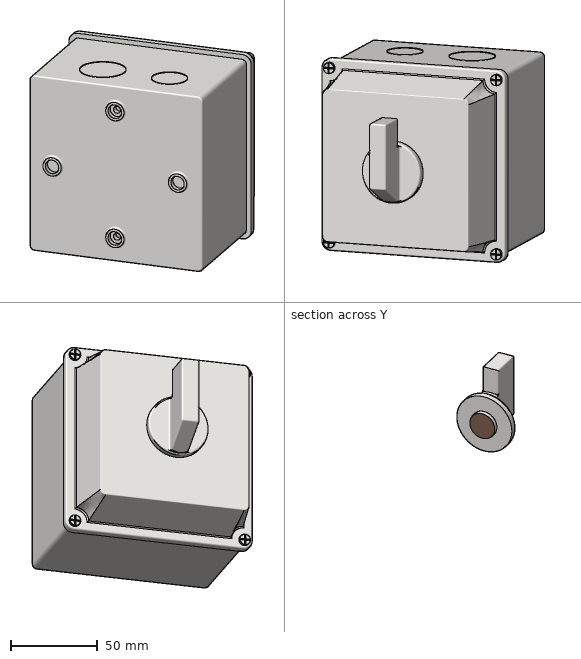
import cadquery as cq
import math


HOUSING_SIDE = 107.2
HOUSING_DEPTH = 70.3
HOUSING_CORNER_RADIUS = 3.0
BACK_EDGE_RADIUS = 1.0

FOOT_HEIGHT = 2.0
FOOT_DIAMETER = 11.3
FOOT_ROOT_RADIUS = 1.0
FOOT_OFFSET = 38.9
FOOT_POCKET_DIAMETER = 8.3
FOOT_POCKET_DEPTH = 3.5
SCREW_HOLE_DIAMETER = 4.3
SCREW_HOLE_DEPTH = 4.1

KNOCKOUT_Y = -45.2
KNOCKOUT_RECESS = 0.4
LARGE_KNOCKOUT_X = -17.9
LARGE_KNOCKOUT_DIAMETER = 27.0
SMALL_KNOCKOUT_X = 23.4
SMALL_KNOCKOUT_DIAMETER = 21.0

FLANGE_SIDE = 113
FLANGE_THICKNESS = 5.1
FLANGE_CORNER_RADIUS = 5.5
FLANGE_EDGE_RADIUS = 1.0
COVER_FRONT_Y = 35.3
HOOD_BASE_SIDE = 101.1
HOOD_BASE_CORNER_RADIUS = 7.5
HOOD_TOP_SIDE = 89.8
HOOD_TOP_CORNER_RADIUS = 3.0
HOOD_TOP_EDGE_RADIUS = 0.5
SKIRT_SPREAD = 0.7
SKIRT_HEIGHT = 0.8

COVER_SCREW_OFFSET = 51.4
COVER_SCREW_DIAMETER = 6.5
COVER_SCREW_HEIGHT = 1.8
COVER_SCREW_SLOT_WIDTH = 0.7
COVER_SCREW_SLOT_DEPTH = 1.0

SHAFT_DIAMETER = 16.5
SHAFT_LENGTH = 2.6
DISC_DIAMETER = 36.0
DISC_THICKNESS = 4.7
DISC_EDGE_RADIUS = 1.0
GRIP_WIDTH = 10.3
GRIP_HEIGHT = 22.9
GRIP_ARM_GAP = 3.0
GRIP_TOP_Z = 33.0
GRIP_BOTTOM_FRONT_Z = -5.6
GRIP_BOTTOM_BACK_Z = -17.5
GRIP_EDGE_RADIUS = 1.0
GRIP_ROOT_RADIUS = 1.0

SELECTION_MARGIN = 0.1

DISC_FLAT_RADIUS = DISC_DIAMETER / 2 - DISC_EDGE_RADIUS
DISC_BACK_Y = COVER_FRONT_Y + SHAFT_LENGTH
DISC_FRONT_Y = DISC_BACK_Y + DISC_THICKNESS
GRIP_FRONT_Y = DISC_FRONT_Y + GRIP_HEIGHT
GRIP_ARM_BACK_Y = DISC_FRONT_Y + GRIP_ARM_GAP


def facing_front(y):
    """Workplane at the given Y, so that a positive extrusion runs toward +Y."""
    return cq.Workplane(cq.Plane(origin=(0, y, 0), xDir=(1, 0, 0), normal=(0, 1, 0)))


def edges_between(back_y, front_y, reach):
    """Selects edges centred between two Y planes, no further than the reach from the Y axis in X and Z."""
    return cq.selectors.BoxSelector(
        (-reach - SELECTION_MARGIN, back_y - SELECTION_MARGIN, -reach - SELECTION_MARGIN),
        (reach + SELECTION_MARGIN, front_y + SELECTION_MARGIN, reach + SELECTION_MARGIN),
    )


def rounded_square(side, radius):
    return cq.Sketch().rect(side, side).vertices().fillet(radius)


def make_housing():
    box = facing_front(-HOUSING_DEPTH).placeSketch(
        rounded_square(HOUSING_SIDE, HOUSING_CORNER_RADIUS)
    ).extrude(HOUSING_DEPTH)
    box = box.faces("<Y").edges().fillet(BACK_EDGE_RADIUS)

    across = [(-FOOT_OFFSET, 0), (FOOT_OFFSET, 0)]
    upright = [(0, -FOOT_OFFSET), (0, FOOT_OFFSET)]
    feet_y = -HOUSING_DEPTH - FOOT_HEIGHT
    pocket_floor_y = feet_y + FOOT_POCKET_DEPTH

    feet = facing_front(feet_y).pushPoints(across + upright).circle(FOOT_DIAMETER / 2).extrude(FOOT_HEIGHT)
    box = box.union(feet)
    foot_roots = edges_between(-HOUSING_DEPTH, -HOUSING_DEPTH, FOOT_OFFSET)
    box = box.edges("%CIRCLE").edges(foot_roots).fillet(FOOT_ROOT_RADIUS)

    pockets = facing_front(feet_y).pushPoints(across + upright).circle(FOOT_POCKET_DIAMETER / 2)
    box = box.cut(pockets.extrude(FOOT_POCKET_DEPTH))
    screw_holes = facing_front(pocket_floor_y).pushPoints(upright).circle(SCREW_HOLE_DIAMETER / 2)
    box = box.cut(screw_holes.extrude(SCREW_HOLE_DEPTH))

    for x, diameter in (
        (LARGE_KNOCKOUT_X, LARGE_KNOCKOUT_DIAMETER),
        (SMALL_KNOCKOUT_X, SMALL_KNOCKOUT_DIAMETER),
    ):
        knockout = cq.Workplane("XY", origin=(x, KNOCKOUT_Y, HOUSING_SIDE / 2)).circle(diameter / 2)
        box = box.cut(knockout.extrude(-KNOCKOUT_RECESS))
    return box


def hood_outline(plane, side, corner_radius, hollow_corners):
    """Square with arcs at its corners, either rounded off or scooped out around the corner point."""
    half = side / 2
    straight_end = half - corner_radius
    if hollow_corners:
        arc_middle = half - corner_radius * math.sqrt(0.5)
    else:
        arc_middle = straight_end + corner_radius * math.sqrt(0.5)

    outline = plane.moveTo(half, -straight_end)
    for sx, sy in ((1, 1), (-1, 1), (-1, -1), (1, -1)):
        on_side = (sx * half, sy * straight_end)
        on_cap = (sx * straight_end, sy * half)
        start, end = (on_side, on_cap) if sx == sy else (on_cap, on_side)
        outline = outline.lineTo(*start).threePointArc((sx * arc_middle, sy * arc_middle), end)
    return outline.close()


def make_cover():
    flange = facing_front(0).placeSketch(
        rounded_square(FLANGE_SIDE, FLANGE_CORNER_RADIUS)
    ).extrude(FLANGE_THICKNESS)
    flange = flange.faces(">Y").edges().fillet(FLANGE_EDGE_RADIUS)

    skirt_side = HOOD_BASE_SIDE + 2 * SKIRT_SPREAD
    skirt = hood_outline(facing_front(FLANGE_THICKNESS), skirt_side, HOOD_BASE_CORNER_RADIUS, True)
    skirt = skirt.workplane(offset=SKIRT_HEIGHT)
    skirt = hood_outline(skirt, HOOD_BASE_SIDE, HOOD_BASE_CORNER_RADIUS, True).loft(ruled=True)

    hood_base_y = FLANGE_THICKNESS + SKIRT_HEIGHT
    hood = hood_outline(facing_front(hood_base_y), HOOD_BASE_SIDE, HOOD_BASE_CORNER_RADIUS, True)
    hood = hood.workplane(offset=COVER_FRONT_Y - hood_base_y)
    hood = hood_outline(hood, HOOD_TOP_SIDE, HOOD_TOP_CORNER_RADIUS, False).loft(ruled=True)
    hood = hood.faces(">Y").edges().fillet(HOOD_TOP_EDGE_RADIUS)
    cover = flange.union(skirt).union(hood)

    corners = [(x, z) for x in (-COVER_SCREW_OFFSET, COVER_SCREW_OFFSET)
               for z in (-COVER_SCREW_OFFSET, COVER_SCREW_OFFSET)]
    heads = facing_front(FLANGE_THICKNESS).pushPoints(corners).circle(COVER_SCREW_DIAMETER / 2)
    heads = heads.extrude(COVER_SCREW_HEIGHT)
    slot_floor = facing_front(FLANGE_THICKNESS + COVER_SCREW_HEIGHT - COVER_SCREW_SLOT_DEPTH)
    for size in (
        (COVER_SCREW_DIAMETER, COVER_SCREW_SLOT_WIDTH),
        (COVER_SCREW_SLOT_WIDTH, COVER_SCREW_DIAMETER),
    ):
        heads = heads.cut(slot_floor.pushPoints(corners).rect(*size).extrude(COVER_SCREW_SLOT_DEPTH))
    return cover.union(heads)


def make_grip():
    """Blade across the disc, with an arm overhanging the disc on the +Z side."""
    blade = (
        cq.Workplane("YZ")
        .moveTo(DISC_FRONT_Y, GRIP_BOTTOM_BACK_Z)
        .lineTo(GRIP_FRONT_Y, GRIP_BOTTOM_FRONT_Z)
        .lineTo(GRIP_FRONT_Y, GRIP_TOP_Z)
        .lineTo(GRIP_ARM_BACK_Y, GRIP_TOP_Z)
        .lineTo(GRIP_ARM_BACK_Y, DISC_FLAT_RADIUS)
        .lineTo(DISC_FRONT_Y, DISC_FLAT_RADIUS)
        .close()
        .extrude(GRIP_WIDTH / 2, both=True)
    )
    rounded = blade.edges(edges_between(GRIP_ARM_BACK_Y, GRIP_FRONT_Y, GRIP_TOP_Z)).edges("(>Y) or (not |X)")
    blade = rounded.fillet(GRIP_EDGE_RADIUS)

    flat_face = facing_front(DISC_FRONT_Y).circle(DISC_FLAT_RADIUS).extrude(GRIP_ARM_GAP)
    under_arm = facing_front(DISC_FRONT_Y).rect(DISC_DIAMETER, DISC_DIAMETER).extrude(GRIP_ARM_GAP)
    blade = blade.cut(under_arm.cut(flat_face))

    half_width = GRIP_WIDTH / 2
    flare_width = half_width + GRIP_ROOT_RADIUS
    flare_front_y = DISC_FRONT_Y + GRIP_ROOT_RADIUS
    arc_inset = GRIP_ROOT_RADIUS * (1 - math.sqrt(0.5))
    flare = (
        cq.Workplane("XY")
        .moveTo(-flare_width, DISC_FRONT_Y)
        .lineTo(flare_width, DISC_FRONT_Y)
        .threePointArc((half_width + arc_inset, DISC_FRONT_Y + arc_inset), (half_width, flare_front_y))
        .lineTo(-half_width, flare_front_y)
        .threePointArc((-half_width - arc_inset, DISC_FRONT_Y + arc_inset), (-flare_width, DISC_FRONT_Y))
        .close()
        .extrude(DISC_DIAMETER / 2, both=True)
        .intersect(flat_face)
    )
    return blade.union(flare)


def make_handle():
    shaft = facing_front(COVER_FRONT_Y).circle(SHAFT_DIAMETER / 2).extrude(SHAFT_LENGTH)
    disc = facing_front(DISC_BACK_Y).circle(DISC_DIAMETER / 2).extrude(DISC_THICKNESS)
    disc = disc.faces(">Y").edges().fillet(DISC_EDGE_RADIUS)
    return shaft.union(disc).union(make_grip())


housing = make_housing()
cover = make_cover()
handle = make_handle()

result = cq.Compound.makeCompound([housing.val(), cover.val(), handle.val()])